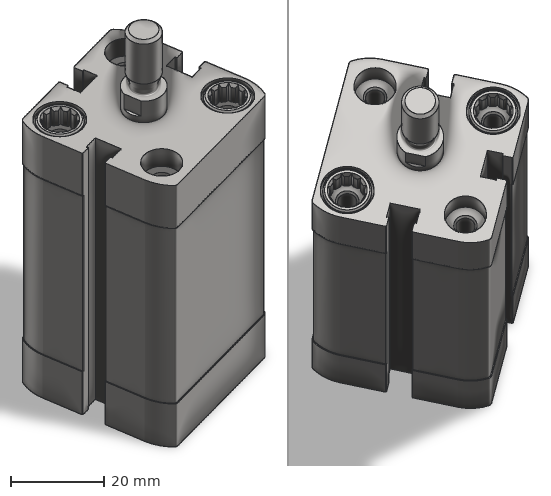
import cadquery as cq
import math

housing_width = 39.5
housing_height = 74.2
cap_height = 12.2
barrel_inset = 0.25
bolt_offset = 13.0
corner_arc_radius = 11.5
corner_edge_radius = 1.0

slot_mouth_width = 5.6
slot_mouth_depth = 2.3
slot_inner_width = 6.6
slot_depth = 5.75
slot_lip_chamfer = 0.2
slot_angles = (0, 180, 270)

bolt_core_diameter = 4.13
bolt_mouth_diameter = 5.0
recess_depth = 5.0
counterbore_diameter = 9.0

groove_outer_diameter = 11.5
collar_diameter = 10.5
groove_depth = 1.0
collar_chamfer = 0.4
socket_diameter = 7.5
socket_mouth_diameter = 8.5
socket_lead_in = 0.9
spline_tip_diameter = 8.4
square_count = 3

rod_diameter = 10.0
rod_engagement = cap_height
shoulder_height = 6.1
flat_width = 9.0
flat_bottom = 1.9
flat_runout_angle = 30.0
neck_diameter = 6.2
neck_flare = 0.5
neck_fillet = 1.0
neck_top = 7.6
thread_start = 10.1
thread_top = 22.1
thread_diameter = 8.0
tip_diameter = 6.5
tip_height = 0.7


def block(inset, height):
    """Square prism with a shallow arc and a small round at each corner."""
    half = housing_width / 2 - inset
    arc_radius = corner_arc_radius - inset
    arc_center = housing_width / 2 - corner_arc_radius
    round_x = half - corner_edge_radius
    center_gap = arc_radius - corner_edge_radius
    direction = math.asin((round_x - bolt_offset) / center_gap)
    round_y = arc_center + center_gap * math.cos(direction)

    def on_arc(angle):
        return (bolt_offset + arc_radius * math.sin(angle), arc_center + arc_radius * math.cos(angle))

    def on_round(angle):
        return (round_x + corner_edge_radius * math.sin(angle), round_y + corner_edge_radius * math.cos(angle))

    quarter = (
        cq.Workplane("XY")
        .lineTo(0, half)
        .lineTo(bolt_offset, half)
        .threePointArc(on_arc(direction / 2), on_arc(direction))
        .threePointArc(on_round((direction + math.pi / 2) / 2), (half, round_y))
        .lineTo(half, 0)
        .close()
        .extrude(height)
    )
    right_half = quarter.union(quarter.mirror("XZ"))
    return right_half.union(right_half.mirror("YZ")).clean()


def t_slot(inset, height, angle):
    """T-slot cutter with chamfered lips for the -Y face of a block, turned about Z."""
    half_mouth = slot_mouth_width / 2
    half_inner = slot_inner_width / 2
    half_lip = half_mouth + slot_lip_chamfer
    outer_face = -housing_width / 2
    block_face = outer_face + inset
    step = outer_face + slot_mouth_depth
    floor = outer_face + slot_depth
    half_outline = [
        (half_lip, block_face),
        (half_mouth, block_face + slot_lip_chamfer),
        (half_mouth, step),
        (half_inner, step),
        (half_inner, floor),
    ]
    other_half = [(-x, y) for x, y in reversed(half_outline)]
    slot = cq.Workplane("XY").polyline(half_outline + other_half).close().extrude(height)
    return slot.rotate((0, 0, 0), (0, 0, 1), angle)


def slotted_block(inset, bottom, top):
    height = top - bottom
    body = block(inset, height)
    for angle in slot_angles:
        body = body.cut(t_slot(inset, height, angle))
    return body.translate((0, 0, bottom))


def cylinder(diameter, bottom, top):
    return cq.Workplane("XY").workplane(offset=bottom).circle(diameter / 2).extrude(top - bottom)


def cone(bottom_diameter, top_diameter, bottom, top):
    solid = cq.Solid.makeCone(bottom_diameter / 2, top_diameter / 2, top - bottom, cq.Vector(0, 0, bottom))
    return cq.Workplane(obj=solid)


def bolt_hole():
    """Through hole with a countersunk mouth at the recess floor."""
    floor = housing_height - recess_depth
    mouth_depth = (bolt_mouth_diameter - bolt_core_diameter) / 2
    core = cylinder(bolt_core_diameter, 0, floor)
    return core.union(cone(bolt_core_diameter, bolt_mouth_diameter, floor - mouth_depth, floor))


def counterbored_hole():
    return bolt_hole().union(cylinder(counterbore_diameter, housing_height - recess_depth, housing_height))


def collar_hole():
    """Triple-square socket inside a collar that a narrow groove sets off from the cap."""
    top = housing_height
    floor = top - recess_depth

    socket = cylinder(socket_diameter, floor, top)
    square_side = spline_tip_diameter / math.sqrt(2)
    square = cq.Workplane("XY").workplane(offset=floor).rect(square_side, square_side).extrude(recess_depth)
    for index in range(square_count):
        socket = socket.union(square.rotate((0, 0, 0), (0, 0, 1), 45 + index * 90 / square_count))
    socket = socket.union(cone(socket_diameter, socket_mouth_diameter, top - socket_lead_in, top))

    collar_top_diameter = collar_diameter - 2 * collar_chamfer
    collar = cylinder(collar_diameter, top - groove_depth, top - collar_chamfer)
    collar = collar.union(cone(collar_diameter, collar_top_diameter, top - collar_chamfer, top))
    groove = cylinder(groove_outer_diameter, top - groove_depth, top).cut(collar)
    return bolt_hole().union(socket).union(groove)


def make_housing():
    barrel_top = housing_height - cap_height
    body = slotted_block(0, 0, cap_height)
    body = body.union(slotted_block(barrel_inset, cap_height, barrel_top))
    body = body.union(slotted_block(0, barrel_top, housing_height))
    for side in (-1, 1):
        body = body.cut(collar_hole().translate((side * bolt_offset, side * bolt_offset, 0)))
        body = body.cut(counterbored_hole().translate((side * bolt_offset, -side * bolt_offset, 0)))
    return body.cut(cylinder(rod_diameter, housing_height - rod_engagement, housing_height))


def make_rod():
    """Turned rod with a necked, plain thread end and two wrench flats facing -Y and +Y."""
    neck_radius = neck_diameter / 2
    thread_radius = thread_diameter / 2
    cone_angle = math.atan2(thread_radius - neck_radius, thread_start - neck_top)
    tangent_length = neck_fillet * math.tan(cone_angle / 2)
    fillet_end = (
        neck_radius + tangent_length * math.sin(cone_angle),
        neck_top + tangent_length * math.cos(cone_angle),
    )
    rod = (
        cq.Workplane("XZ")
        .moveTo(0, -rod_engagement)
        .lineTo(rod_diameter / 2, -rod_engagement)
        .lineTo(rod_diameter / 2, shoulder_height)
        .lineTo(neck_radius + neck_flare, shoulder_height)
        .radiusArc((neck_radius, shoulder_height + neck_flare), neck_flare)
        .lineTo(neck_radius, neck_top - tangent_length)
        .radiusArc(fillet_end, neck_fillet)
        .lineTo(thread_radius, thread_start)
        .lineTo(thread_radius, thread_top - tip_height)
        .lineTo(tip_diameter / 2, thread_top)
        .lineTo(0, thread_top)
        .close()
        .revolve(360, (0, 0, 0), (0, 1, 0))
    )
    runout_drop = rod_diameter / 2 * math.tan(math.radians(flat_runout_angle))
    flat_cut = (
        cq.Workplane("YZ")
        .moveTo(flat_width / 2, shoulder_height)
        .lineTo(flat_width / 2, flat_bottom)
        .lineTo(flat_width / 2 + rod_diameter / 2, flat_bottom - runout_drop)
        .lineTo(flat_width / 2 + rod_diameter / 2, shoulder_height)
        .close()
        .extrude(rod_diameter / 2, both=True)
    )
    rod = rod.cut(flat_cut).cut(flat_cut.mirror("XZ"))
    return rod.translate((0, 0, housing_height))


housing = make_housing()
rod = make_rod()
result = cq.Compound.makeCompound([housing.val(), rod.val()])